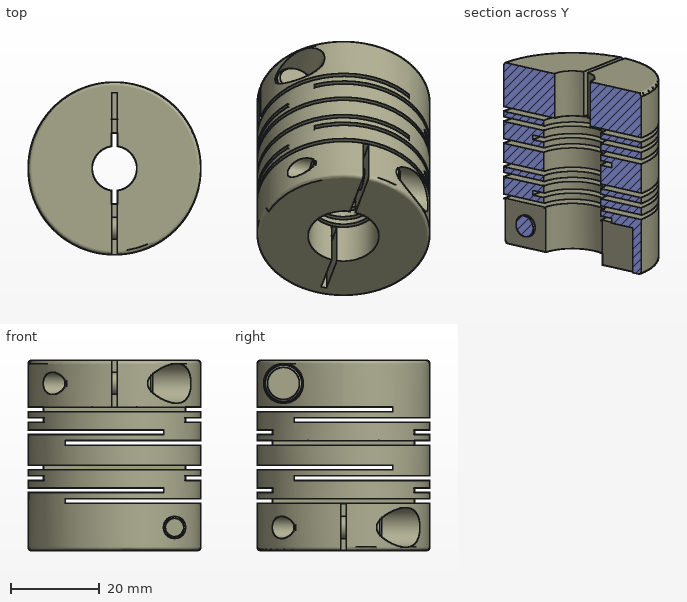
import cadquery as cq

length = 43.0
outer_dia = 39.0
outer_radius = outer_dia / 2
rim_fillet = 0.85
overcut = 2.15

small_bore_dia = 10.0
large_bore_dia = 16.0

slot_width = 1.0
first_slot_z = 31.9
group_count = 2
group_pitch = 13.1
slot_drops = [0.0, 2.4, 5.15, 7.55]
slot_open_angles = [-90, 90, 180, 0]
slot_reach = 11.1

hub_height = length - first_slot_z - slot_width / 2
slit_width = 1.25
slit_reach = 17.03
screw_offset = 13.55
screw_depth = 5.25
shank_dia = 5.0
head_dia = 8.25
counterbore_dia = 8.95
head_height = 5.0
head_face_x = 8.65
head_seat_x = head_face_x - head_height
head_chamfer = 0.5
tip_x = -11.2
tip_chamfer = 0.45


def cylinder_along_x(dia, start, end):
    """Cylinder on the clamp screw axis of the top hub."""
    return (
        cq.Workplane("YZ", origin=(start, -screw_offset, length - screw_depth))
        .circle(dia / 2)
        .extrude(end - start)
    )


def flexure_slot(z, angle):
    """Flat slot that opens towards the given angle and stops past the axis."""
    slot_length = slot_reach + outer_radius + overcut
    return (
        cq.Workplane("XY")
        .box(slot_length, outer_dia + 2 * overcut, slot_width, centered=(False, True, True))
        .translate((-slot_reach, 0, z))
        .rotate((0, 0, 0), (0, 0, 1), angle)
    )


def clamp_screw():
    """Cap screw whose shank fills its hole, with a chamfered tip and head."""
    shank = cylinder_along_x(shank_dia, tip_x, head_face_x).faces("<X").chamfer(tip_chamfer)
    head = cylinder_along_x(head_dia, head_seat_x, head_face_x).faces(">X").chamfer(head_chamfer)
    return shank.union(head)


def clamp_cut():
    """Empty space of the top hub: slit and screw hole, less the screw itself."""
    far_side = outer_radius + overcut
    slit = (
        cq.Workplane("XY", origin=(0, -far_side, length - hub_height))
        .box(slit_width, slit_reach + far_side, hub_height + overcut, centered=(True, False, False))
    )
    hole = cylinder_along_x(shank_dia, -far_side, head_seat_x)
    counterbore = cylinder_along_x(counterbore_dia, head_seat_x, far_side)
    return slit.union(hole).union(counterbore).cut(clamp_screw())


body = cq.Workplane("XY").circle(outer_radius).extrude(length).edges().fillet(rim_fillet)

body = body.cut(cq.Workplane("XY").circle(small_bore_dia / 2).extrude(length))
body = body.cut(cq.Workplane("XY").circle(large_bore_dia / 2).extrude(first_slot_z))

top_clamp = clamp_cut()
bottom_clamp = top_clamp.mirror("XY", (0, 0, length / 2)).rotate((0, 0, 0), (0, 0, 1), 90)
body = body.cut(top_clamp).cut(bottom_clamp)

for group in range(group_count):
    group_z = first_slot_z - group * group_pitch
    for drop, open_angle in zip(slot_drops, slot_open_angles):
        body = body.cut(flexure_slot(group_z - drop, open_angle))

result = body